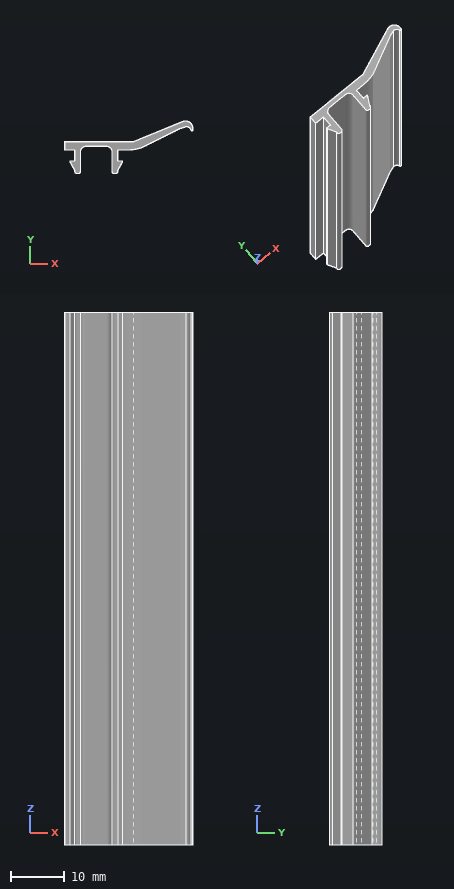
import cadquery as cq
import math

LENGTH = 100.0
WIDTH = 24.1
LEG_DEPTH = 6.0
LIP_HEIGHT = 3.9

BASE_THICKNESS = 1.6
WEB_THICKNESS = 0.9
CHANNEL_FILLET = 1.0

LEG_THICKNESS = 1.1
LEFT_LEG_OUTER = 1.9
LEFT_LEG_INNER = LEFT_LEG_OUTER + LEG_THICKNESS
RIGHT_LEG_INNER = 8.9
RIGHT_LEG_OUTER = RIGHT_LEG_INNER + LEG_THICKNESS
BARB_REACH = 0.9
BARB_TOP = 3.6
BARB_EDGE = 0.2
BARB_BOTTOM = 5.4
FOOT_ROUND = 0.4

BEND_TOP_X = 12.9
BEND_START_X = 11.7
BEND_END = (14.4, -1.2)
LIP_UNDER_ANGLE = 26.5
LIP_UNDER_END_X = 21.7

HOOK_TOP_X = 22.7
HOOK_RADIUS = WIDTH - HOOK_TOP_X
LIP_TOP_ANGLE = 22.5
HOOK_TIP_Y = 2.2
HOOK_TIP_WIDTH = 0.4
HOOK_INNER_START = (22.8, 2.8)
HOOK_INNER_RADIUS = 0.9


def barb_points(leg_outer, side):
    """Barb along the leg's outer face, from the base down; side is -1 for left, +1 for right."""
    tip_x = leg_outer + side * BARB_REACH
    return [
        (leg_outer, -BASE_THICKNESS),
        (leg_outer, -BARB_TOP),
        (tip_x, -BARB_TOP),
        (tip_x, -BARB_TOP - BARB_EDGE),
        (leg_outer, -BARB_BOTTOM),
    ]


def add_lines(outline, points):
    for x, y in points:
        outline = outline.lineTo(x, y)
    return outline


def profile():
    """Closed outline, starting at the upper free corner and running along the underside."""
    outline = cq.Workplane("XY").moveTo(0, 0).lineTo(0, -BASE_THICKNESS)
    outline = add_lines(outline, barb_points(LEFT_LEG_OUTER, -1))

    foot_y = -LEG_DEPTH + FOOT_ROUND
    fillet_y = -WEB_THICKNESS - CHANNEL_FILLET
    outline = (
        outline.lineTo(LEFT_LEG_OUTER, foot_y)
        .radiusArc((LEFT_LEG_OUTER + FOOT_ROUND, -LEG_DEPTH), -FOOT_ROUND)
        .lineTo(LEFT_LEG_INNER - FOOT_ROUND, -LEG_DEPTH)
        .radiusArc((LEFT_LEG_INNER, foot_y), -FOOT_ROUND)
        .lineTo(LEFT_LEG_INNER, fillet_y)
        .radiusArc((LEFT_LEG_INNER + CHANNEL_FILLET, -WEB_THICKNESS), CHANNEL_FILLET)
        .lineTo(RIGHT_LEG_INNER - CHANNEL_FILLET, -WEB_THICKNESS)
        .radiusArc((RIGHT_LEG_INNER, fillet_y), CHANNEL_FILLET)
        .lineTo(RIGHT_LEG_INNER, foot_y)
        .radiusArc((RIGHT_LEG_INNER + FOOT_ROUND, -LEG_DEPTH), -FOOT_ROUND)
        .lineTo(RIGHT_LEG_OUTER - FOOT_ROUND, -LEG_DEPTH)
        .radiusArc((RIGHT_LEG_OUTER, foot_y), -FOOT_ROUND)
    )
    outline = add_lines(outline, reversed(barb_points(RIGHT_LEG_OUTER, 1)))

    under_rise = (LIP_UNDER_END_X - BEND_END[0]) * math.tan(math.radians(LIP_UNDER_ANGLE))
    outline = (
        outline.lineTo(BEND_START_X, -BASE_THICKNESS)
        .tangentArcPoint(BEND_END, relative=False)
        .lineTo(LIP_UNDER_END_X, BEND_END[1] + under_rise)
    )

    center_y = LIP_HEIGHT - HOOK_RADIUS
    tangent = math.radians(LIP_TOP_ANGLE)
    lip_top_end = (
        HOOK_TOP_X - HOOK_RADIUS * math.sin(tangent),
        center_y + HOOK_RADIUS * math.cos(tangent),
    )
    return (
        outline.lineTo(*HOOK_INNER_START)
        .radiusArc((WIDTH - HOOK_TIP_WIDTH, HOOK_TIP_Y), HOOK_INNER_RADIUS)
        .radiusArc((WIDTH, HOOK_TIP_Y), -HOOK_TIP_WIDTH / 2)
        .lineTo(WIDTH, center_y)
        .radiusArc(lip_top_end, -HOOK_RADIUS)
        .lineTo(BEND_TOP_X, 0)
        .close()
    )


result = profile().extrude(LENGTH)